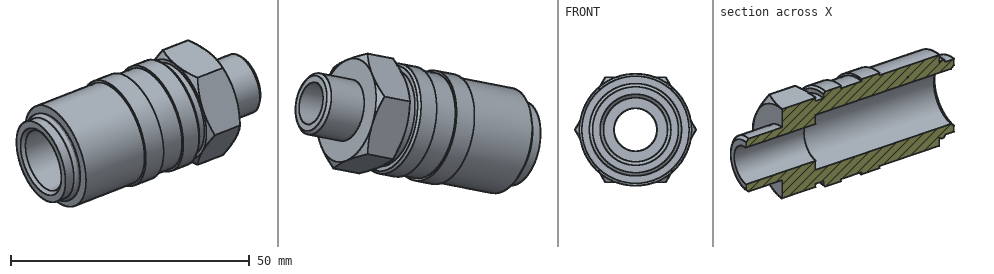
import cadquery as cq
import math

total_length = 52.0
ring_crest = 2.9
body_start = 3.7
front_band_start = 18.6
front_band_end = 23.15
rear_band_start = 28.2
rear_band_end = 32.65
hex_start = 34.6
hex_end = 43.0

nose_radius = 9.0
ring_radius = 9.65
body_radius = 11.25
band_radius = 11.75
neck_radius = 10.25
stud_radius = 6.55

hex_across_flats = 22.0
hex_flat_radius = hex_across_flats / 2
hex_corner_radius = hex_flat_radius / math.cos(math.pi / 6)
hex_chamfer_angle = math.radians(30)

band_chamfer = 0.5
stud_chamfer = 0.7

through_radius = 4.45
socket_radius = 6.7
socket_mouth_radius = 7.45
socket_mouth_chamfer = socket_mouth_radius - socket_radius
socket_depth = hex_start


def cylinder(radius, start, end):
    """Solid cylinder about the Y axis between two stations."""
    plane = cq.Workplane("XZ", origin=(0, start, 0))
    return plane.circle(radius).extrude(start - end)


def nose_with_ring():
    """Socket nose with a rounded bead that ends against the sleeve body."""
    bead_radius = body_start - ring_crest
    bead_center_radius = ring_radius - bead_radius
    bead_offset = bead_radius * math.sqrt(0.5)
    bead_start = ring_crest - math.sqrt(bead_radius**2 - (nose_radius - bead_center_radius) ** 2)
    return (
        cq.Workplane("XY")
        .moveTo(nose_radius, 0)
        .lineTo(nose_radius, bead_start)
        .threePointArc(
            (bead_center_radius + bead_offset, ring_crest - bead_offset),
            (ring_radius, ring_crest),
        )
        .threePointArc(
            (bead_center_radius + bead_offset, ring_crest + bead_offset),
            (bead_center_radius, body_start),
        )
        .lineTo(0, body_start)
        .lineTo(0, 0)
        .close()
        .revolve(360, (0, 0, 0), (0, 1, 0))
    )


def hexagon():
    """Wrench hexagon with its corners turned off conically at both ends."""
    prism = (
        cq.Workplane("XZ", origin=(0, hex_start, 0))
        .polygon(6, 2 * hex_corner_radius)
        .extrude(hex_start - hex_end)
    )
    corner_drop = (hex_corner_radius - hex_flat_radius) * math.tan(hex_chamfer_angle)
    turned_envelope = (
        cq.Workplane("XY")
        .polyline([
            (0, hex_start),
            (hex_flat_radius, hex_start),
            (hex_corner_radius, hex_start + corner_drop),
            (hex_corner_radius, hex_end - corner_drop),
            (hex_flat_radius, hex_end),
            (0, hex_end),
        ])
        .close()
        .revolve(360, (0, 0, 0), (0, 1, 0))
    )
    return prism.intersect(turned_envelope)


def stepped_bore():
    """Chamfered socket followed by the smaller through hole."""
    socket = cylinder(socket_radius, 0, socket_depth)
    through_hole = cylinder(through_radius, 0, total_length)
    mouth = (
        cq.Workplane("XY")
        .polyline([(0, 0), (socket_mouth_radius, 0), (socket_radius, socket_mouth_chamfer),
                   (0, socket_mouth_chamfer)])
        .close()
        .revolve(360, (0, 0, 0), (0, 1, 0))
    )
    return through_hole.union(socket).union(mouth)


body = cylinder(body_radius, body_start, rear_band_end - band_chamfer)
front_band = cylinder(band_radius, front_band_start, front_band_end)
rear_band = cylinder(band_radius, rear_band_start, rear_band_end).faces(">Y").chamfer(band_chamfer)
neck = cylinder(neck_radius, rear_band_start, hex_start)
stud = cylinder(stud_radius, hex_end, total_length).faces(">Y").chamfer(stud_chamfer)

outside = nose_with_ring()
for section in (body, front_band, rear_band, neck, hexagon(), stud):
    outside = outside.union(section)

result = outside.cut(stepped_bore())